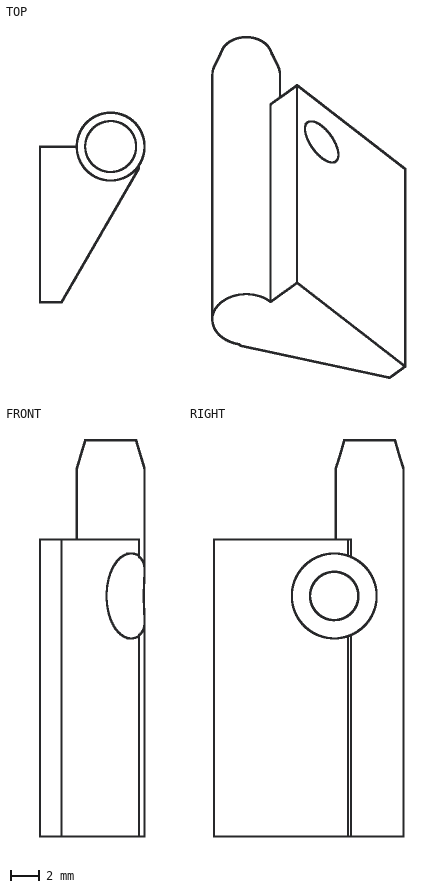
import cadquery as cq
import math

pin_diameter = 4.8
pin_radius = pin_diameter / 2
pin_length = 28.0
pin_tip_diameter = 3.6
pin_tip_length = 2.0

plate_height = 21.0
flat_face_x = -5.0
front_edge_y = -11.0
back_edge_x = 2.0
slope_angle = 30.0
slope_to_pin_axis = 2.5

hole_y = -2.5
hole_z = 17.0
hole_diameter = 3.4
counterbore_diameter = 6.0
counterbore_floor_x = -2.0


def make_pin():
    tip_inset = (pin_diameter - pin_tip_diameter) / 2
    pin = cq.Workplane("XY").circle(pin_radius).extrude(pin_length)
    return pin.faces(">Z").chamfer(pin_tip_length, tip_inset)


def make_plate():
    slope = math.radians(slope_angle)
    slope_x_at_axis = slope_to_pin_axis / math.cos(slope)
    front_edge_x = slope_x_at_axis + front_edge_y * math.tan(slope)
    slope_end_y = (back_edge_x - slope_x_at_axis) / math.tan(slope)
    outline = [
        (flat_face_x, 0),
        (flat_face_x, front_edge_y),
        (front_edge_x, front_edge_y),
        (back_edge_x, slope_end_y),
        (back_edge_x, 0),
    ]
    return cq.Workplane("XY").polyline(outline).close().extrude(plate_height)


def bore_along_x(diameter, start_x):
    """Cylinder on the hole axis, from start_x to the far side of the pin."""
    return (
        cq.Workplane("YZ", origin=(start_x, hole_y, hole_z))
        .circle(diameter / 2)
        .extrude(pin_radius - start_x)
    )


result = (
    make_pin()
    .union(make_plate())
    .cut(bore_along_x(hole_diameter, flat_face_x))
    .cut(bore_along_x(counterbore_diameter, counterbore_floor_x))
)